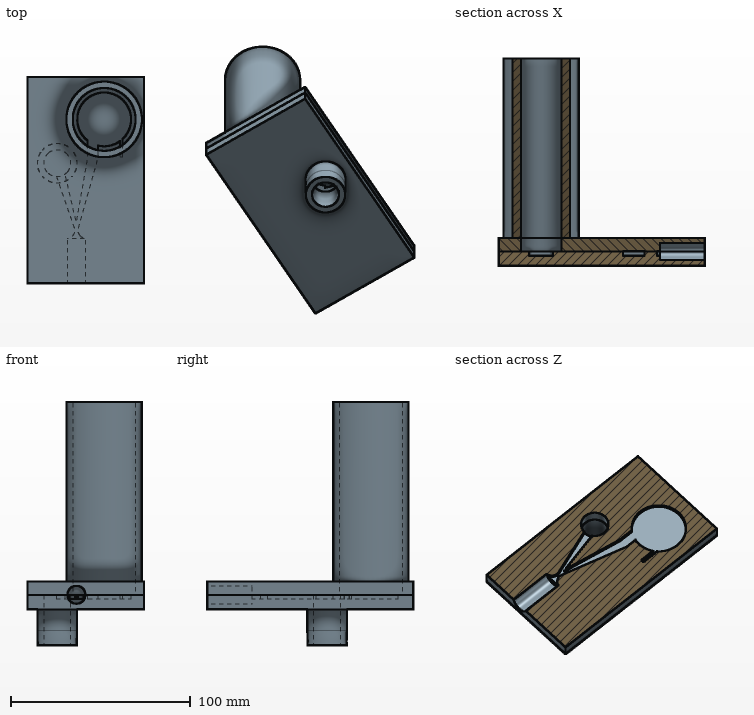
import cadquery as cq
import math

PLATE_WIDTH = 65.0
PLATE_LENGTH = 115.0
BOTTOM_THICKNESS = 8.17
TOP_THICKNESS = 7.5
PASSAGE_DEPTH = 2.4
STACK_HEIGHT = BOTTOM_THICKNESS + TOP_THICKNESS
PASSAGE_FLOOR = BOTTOM_THICKNESS - PASSAGE_DEPTH

TUBE_X, TUBE_Y = 42.75, 91.3
TUBE_OUTER_DIAMETER = 42.16
TUBE_INNER_DIAMETER = 35.05
TUBE_HEIGHT = 100.0
WELL_DIAMETER = 30.0

CONNECTOR_X, CONNECTOR_Y = 16.6, 66.9
CONNECTOR_DIAMETER = 22.25
CONNECTOR_BORE = 15.0
CONNECTOR_LENGTH = 20.0
TAPER_LENGTH = 8.3
CONNECTOR_TIP_DIAMETER = 21.9

INLET_X = 27.3
INLET_DIAMETER = 10.0
INLET_DEPTH = 25.0

NOZZLE_MOUTH = 8.0
THROAT_WIDTH = 1.6
THROAT_RADIUS = 5.0
MOUTH_NORMAL = math.radians(34)

LEG_WIDTH = 5.8
LEG_SLOT_LEFT = 33.6
NARROW_SLOT_LEFT = 51.6
NARROW_SLOT_WIDTH = 1.5
SLOT_START_Y = TUBE_Y - TUBE_OUTER_DIAMETER / 2


def passage(outline):
    """Cut body that runs from the passage floor up to the joint."""
    return outline.extrude(PASSAGE_DEPTH)


def floor_plane():
    """Workplane on the floor of the passages."""
    return cq.Workplane("XY", origin=(0, 0, PASSAGE_FLOOR))


def make_inlet():
    return (
        cq.Workplane("XZ", origin=(INLET_X, 0, BOTTOM_THICKNESS))
        .circle(INLET_DIAMETER / 2)
        .extrude(-INLET_DEPTH)
    )


ARC_CENTRE_OFFSET = THROAT_WIDTH / 2 + THROAT_RADIUS
TANGENT_OFFSET = ARC_CENTRE_OFFSET - THROAT_RADIUS * math.sin(MOUTH_NORMAL)
TANGENT_Y = INLET_DEPTH + (NOZZLE_MOUTH / 2 - TANGENT_OFFSET) * math.tan(MOUTH_NORMAL)
THROAT_Y = TANGENT_Y + THROAT_RADIUS * math.cos(MOUTH_NORMAL)


def make_nozzle():
    middle = (MOUTH_NORMAL + math.pi / 2) / 2
    middle_offset = ARC_CENTRE_OFFSET - THROAT_RADIUS * math.sin(middle)
    middle_y = THROAT_Y - THROAT_RADIUS * math.cos(middle)
    outline = (
        floor_plane()
        .moveTo(INLET_X - NOZZLE_MOUTH / 2, INLET_DEPTH)
        .lineTo(INLET_X - TANGENT_OFFSET, TANGENT_Y)
        .threePointArc((INLET_X - middle_offset, middle_y), (INLET_X - THROAT_WIDTH / 2, THROAT_Y))
        .lineTo(INLET_X + THROAT_WIDTH / 2, THROAT_Y)
        .threePointArc((INLET_X + middle_offset, middle_y), (INLET_X + TANGENT_OFFSET, TANGENT_Y))
        .lineTo(INLET_X + NOZZLE_MOUTH / 2, INLET_DEPTH)
        .close()
    )
    return passage(outline)


def make_leg(end_left, end_y):
    """Leg that widens from the throat to the full leg width at its far end."""
    outline = floor_plane().polyline(
        [
            (INLET_X - THROAT_WIDTH / 2, THROAT_Y),
            (INLET_X + THROAT_WIDTH / 2, THROAT_Y),
            (end_left + LEG_WIDTH, end_y),
            (end_left, end_y),
        ]
    )
    return passage(outline.close())


def make_slot(left, width):
    """Straight slot that runs along Y into the well."""
    length = TUBE_Y - SLOT_START_Y
    outline = floor_plane().center(left + width / 2, SLOT_START_Y + length / 2).rect(width, length)
    return passage(outline)


def make_connector_bore():
    return (
        cq.Workplane("XY", origin=(CONNECTOR_X, CONNECTOR_Y, -CONNECTOR_LENGTH))
        .circle(CONNECTOR_BORE / 2)
        .extrude(CONNECTOR_LENGTH + BOTTOM_THICKNESS)
    )


def make_bottom_plate():
    plate = cq.Workplane("XY").box(PLATE_WIDTH, PLATE_LENGTH, BOTTOM_THICKNESS, centered=False)
    well = passage(floor_plane().center(TUBE_X, TUBE_Y).circle(WELL_DIAMETER / 2))
    return (
        plate.cut(make_inlet())
        .cut(make_nozzle())
        .cut(make_leg(CONNECTOR_X - LEG_WIDTH / 2, CONNECTOR_Y))
        .cut(make_leg(LEG_SLOT_LEFT, SLOT_START_Y))
        .cut(make_slot(LEG_SLOT_LEFT, LEG_WIDTH))
        .cut(make_slot(NARROW_SLOT_LEFT, NARROW_SLOT_WIDTH))
        .cut(well)
        .cut(make_connector_bore())
    )


def make_top_plate():
    plate = cq.Workplane("XY", origin=(0, 0, BOTTOM_THICKNESS)).box(
        PLATE_WIDTH, PLATE_LENGTH, TOP_THICKNESS, centered=False
    )
    opening = (
        cq.Workplane("XY", origin=(TUBE_X, TUBE_Y, BOTTOM_THICKNESS))
        .circle(TUBE_INNER_DIAMETER / 2)
        .extrude(TOP_THICKNESS)
    )
    return plate.cut(opening).cut(make_inlet())


def make_tube():
    return (
        cq.Workplane("XY", origin=(TUBE_X, TUBE_Y, STACK_HEIGHT))
        .circle(TUBE_OUTER_DIAMETER / 2)
        .circle(TUBE_INNER_DIAMETER / 2)
        .extrude(TUBE_HEIGHT)
    )


def make_connector():
    radius = CONNECTOR_DIAMETER / 2
    tip_radius = CONNECTOR_TIP_DIAMETER / 2
    profile = cq.Workplane("XZ").polyline(
        [
            (0, 0),
            (radius, 0),
            (radius, TAPER_LENGTH - CONNECTOR_LENGTH),
            (tip_radius, -CONNECTOR_LENGTH),
            (0, -CONNECTOR_LENGTH),
        ]
    )
    body = profile.close().revolve(360, (0, 0, 0), (0, 1, 0))
    return body.translate((CONNECTOR_X, CONNECTOR_Y, 0)).cut(make_connector_bore())


bottom_plate = make_bottom_plate()
top_plate = make_top_plate()
tube = make_tube()
connector = make_connector()

result = cq.Compound.makeCompound(
    [bottom_plate.val(), top_plate.val(), tube.val(), connector.val()]
)